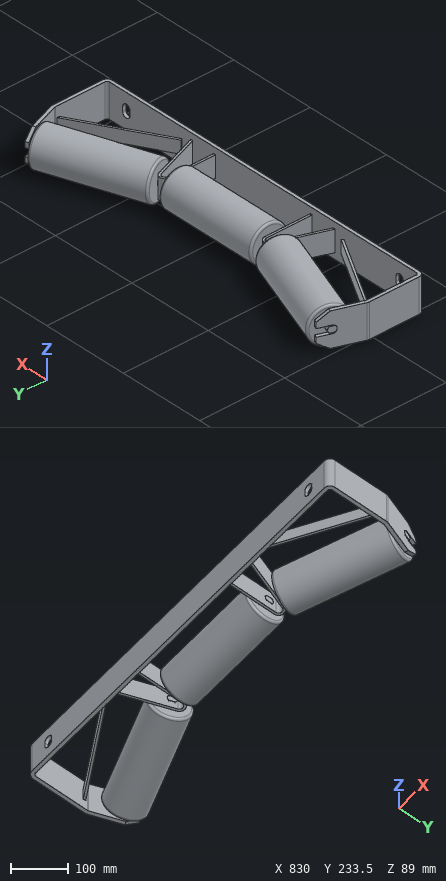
import cadquery as cq
import math

FRAME_LENGTH = 830.0
FRAME_HEIGHT = 80.0
FRAME_THICKNESS = 8.0
FRAME_BEND_RADIUS = 13.0
WING_ANGLE = 20.0
WING_CORNER_Y = 133.0
WING_LENGTH = 99.0
TIP_CHAMFER_LENGTH = 26.5
TIP_CHAMFER_HEIGHT = 17.5
MOUNT_SLOT_X = 358.0
MOUNT_SLOT_WIDTH = 18.0
MOUNT_SLOT_HEIGHT = 29.0

ROLLER_DIAMETER = 89.0
ROLLER_LENGTH = 240.0
ROLLER_EDGE_RADIUS = 5.0
SHAFT_DIAMETER = 18.0
SHAFT_FLATS = 14.0
SHAFT_ROUND_OVERHANG = 2.5
CENTRE_ROLLER_Y = 100.5
SIDE_ROLLER_X = 268.0
SIDE_ROLLER_Y = 152.0

BRACKET_HEIGHT = 50.0
BRACKET_THICKNESS = 5.0
BRACKET_BEND_RADIUS = 12.5
BRACKET_TOP_Y = 128.0
BRACKET_GAP = 4.0

STRUT_ANGLE = 30.0
STRUT_THICKNESS = 5.0
STRUT_HEIGHT = 30.0
STRUT_TOP_Y = 126.0

SIDES = (-1, 1)
FRAME_HALF = FRAME_LENGTH / 2
UPRIGHT_INNER_X = FRAME_HALF - FRAME_THICKNESS
WING_SIN = math.sin(math.radians(WING_ANGLE))
WING_COS = math.cos(math.radians(WING_ANGLE))
WING_TIP_X = FRAME_HALF - WING_LENGTH * WING_SIN
WING_TIP_Y = WING_CORNER_Y + WING_LENGTH * WING_COS
BRACKET_FACE_X = ROLLER_LENGTH / 2 + BRACKET_GAP
WING_OUTER_REACH = (
    (FRAME_HALF - SIDE_ROLLER_X) * WING_COS + (WING_CORNER_Y - SIDE_ROLLER_Y) * WING_SIN
)
WING_CUT_DEPTH = 2.5 * FRAME_THICKNESS
BRACKET_REACH = BRACKET_FACE_X + BRACKET_THICKNESS


def extrude_level(outline, height):
    """Close an XY outline and extrude it to equal heights above and below Z = 0."""
    return outline.close().extrude(height / 2, both=True)


def mirror_x(shape):
    return shape.mirror("YZ")


def place_tilted(shape, x, y):
    """Turn a shape lying along X to the tilt of the +X wing and move it to (x, y)."""
    return shape.rotate((0, 0, 0), (0, 0, 1), WING_ANGLE).translate((x, y, 0))


def place_side_roller(shape):
    return place_tilted(shape, SIDE_ROLLER_X, SIDE_ROLLER_Y)


def fillet_corner(plate, x, y, radius):
    """Round the upright edge of a plate at (x, y)."""
    reach = FRAME_THICKNESS / 10
    edge = cq.selectors.BoxSelector(
        (x - reach, y - reach, -FRAME_HEIGHT), (x + reach, y + reach, FRAME_HEIGHT)
    )
    return plate.edges(edge).fillet(radius)


def make_bent_bar():
    thickness = FRAME_THICKNESS
    inner_corner_y = WING_CORNER_Y - thickness * math.tan(math.radians(WING_ANGLE / 2))
    outer_bends = [(FRAME_HALF, 0), (FRAME_HALF, WING_CORNER_Y)]
    inner_bends = [(UPRIGHT_INNER_X, inner_corner_y), (UPRIGHT_INNER_X, thickness)]
    tip = [
        (WING_TIP_X, WING_TIP_Y),
        (WING_TIP_X - thickness * WING_COS, WING_TIP_Y - thickness * WING_SIN),
    ]
    right_half = outer_bends + tip + inner_bends
    left_half = [(-x, y) for x, y in reversed(right_half)]
    bar = extrude_level(cq.Workplane("XY").polyline(right_half + left_half), FRAME_HEIGHT)
    for side in SIDES:
        for x, y in outer_bends:
            bar = fillet_corner(bar, side * x, y, FRAME_BEND_RADIUS)
        for x, y in inner_bends:
            bar = fillet_corner(bar, side * x, y, FRAME_BEND_RADIUS - thickness)
    return bar


def make_tip_chamfer_cutter(z_side):
    """Wedge that takes one corner off the tip of the +X wing."""
    edge_z = z_side * FRAME_HEIGHT / 2
    wedge = (
        cq.Workplane("YZ")
        .moveTo(0, edge_z)
        .lineTo(-TIP_CHAMFER_LENGTH, edge_z)
        .lineTo(0, edge_z - z_side * TIP_CHAMFER_HEIGHT)
        .close()
        .extrude(WING_CUT_DEPTH, both=True)
    )
    return place_tilted(wedge, WING_TIP_X, WING_TIP_Y)


def make_shaft_slot_cutter():
    """Slot through the +X wing, open at the tip, its round floor under the shaft end."""
    floor = cq.Workplane("YZ").circle(SHAFT_DIAMETER / 2).extrude(WING_CUT_DEPTH)
    walls = cq.Workplane("XY").box(
        WING_CUT_DEPTH, WING_LENGTH, SHAFT_DIAMETER, centered=(False, False, True)
    )
    slot = floor.union(walls).translate((WING_OUTER_REACH - WING_CUT_DEPTH / 2, 0, 0))
    return place_side_roller(slot)


def make_frame():
    bar = make_bent_bar()
    wing_cutters = [make_tip_chamfer_cutter(z_side) for z_side in SIDES]
    wing_cutters.append(make_shaft_slot_cutter())
    for cutter in wing_cutters:
        bar = bar.cut(cutter).cut(mirror_x(cutter))
    mount_slots = (
        cq.Workplane("XZ")
        .pushPoints([(side * MOUNT_SLOT_X, 0) for side in SIDES])
        .slot2D(MOUNT_SLOT_HEIGHT, MOUNT_SLOT_WIDTH, 90)
        .extrude(-FRAME_THICKNESS)
    )
    return bar.cut(mount_slots)


def make_shaft(right_reach):
    """Round shaft along X, reaching a bracket on the left and right_reach on the right.

    Two flats are cut on the stretches that sit in the plates.
    """
    length = BRACKET_REACH + right_reach
    round_length = ROLLER_LENGTH + 2 * SHAFT_ROUND_OVERHANG
    full_shaft = (
        cq.Workplane("YZ")
        .circle(SHAFT_DIAMETER / 2)
        .extrude(length)
        .translate((-BRACKET_REACH, 0, 0))
    )
    flat_bar = cq.Workplane("XY").box(2 * length, SHAFT_DIAMETER, SHAFT_FLATS)
    middle = cq.Workplane("XY").box(round_length, SHAFT_DIAMETER, SHAFT_DIAMETER)
    return full_shaft.intersect(flat_bar.union(middle))


def make_roller(shaft):
    """Drum along X, centred on the origin, with its shaft."""
    drum = (
        cq.Workplane("YZ")
        .circle(ROLLER_DIAMETER / 2)
        .extrude(ROLLER_LENGTH)
        .edges("%CIRCLE")
        .fillet(ROLLER_EDGE_RADIUS)
        .translate((-ROLLER_LENGTH / 2, 0, 0))
    )
    return drum.union(shaft)


def make_bracket(shafts):
    """Bracket on the +X side, with a hole for each shaft end that it carries."""
    outer = BRACKET_BEND_RADIUS
    inner = outer - BRACKET_THICKNESS
    bend_x = BRACKET_FACE_X + outer
    bend_y = BRACKET_TOP_Y - outer
    foot_y = FRAME_THICKNESS

    def lean_start(radius):
        """End of the bend, where the leaning leg begins."""
        return (bend_x + radius * WING_COS, bend_y + radius * WING_SIN)

    def lean_foot(radius):
        x, y = lean_start(radius)
        return (x + (y - foot_y) * WING_SIN / WING_COS, foot_y)

    outline = (
        cq.Workplane("XY")
        .moveTo(bend_x - outer, foot_y)
        .lineTo(bend_x - outer, bend_y)
        .threePointArc((bend_x, bend_y + outer), lean_start(outer))
        .lineTo(*lean_foot(outer))
        .lineTo(*lean_foot(inner))
        .lineTo(*lean_start(inner))
        .threePointArc((bend_x, bend_y + inner), (bend_x - inner, bend_y))
        .lineTo(bend_x - inner, foot_y)
    )
    bracket = extrude_level(outline, BRACKET_HEIGHT)
    for shaft in shafts:
        bracket = bracket.cut(shaft)
    return bracket


def make_strut():
    """Strut on the +X side, its ends resting on the upright and the bar."""
    slope_sin = math.sin(math.radians(STRUT_ANGLE))
    slope_cos = math.cos(math.radians(STRUT_ANGLE))
    lower_y = STRUT_TOP_Y - STRUT_THICKNESS / slope_cos
    foot_x = UPRIGHT_INNER_X - (lower_y - FRAME_THICKNESS) * slope_cos / slope_sin
    outline = cq.Workplane("XY").polyline([
        (UPRIGHT_INNER_X, STRUT_TOP_Y),
        (UPRIGHT_INNER_X, lower_y),
        (foot_x, FRAME_THICKNESS),
        (foot_x - STRUT_THICKNESS * slope_sin, FRAME_THICKNESS + STRUT_THICKNESS * slope_cos),
    ])
    return extrude_level(outline, STRUT_HEIGHT)


centre_shaft = make_shaft(BRACKET_REACH)
side_shaft = make_shaft(WING_OUTER_REACH)

frame = make_frame()
centre_roller = make_roller(centre_shaft).translate((0, CENTRE_ROLLER_Y, 0))
side_roller = place_side_roller(make_roller(side_shaft))
bracket = make_bracket([
    centre_shaft.translate((0, CENTRE_ROLLER_Y, 0)),
    place_side_roller(side_shaft),
])
strut = make_strut()

bodies = [frame.solids().val(), centre_roller.solids().val()]
for body in (side_roller, bracket, strut):
    bodies += [body.solids().val(), mirror_x(body).solids().val()]

result = cq.Compound.makeCompound(bodies)